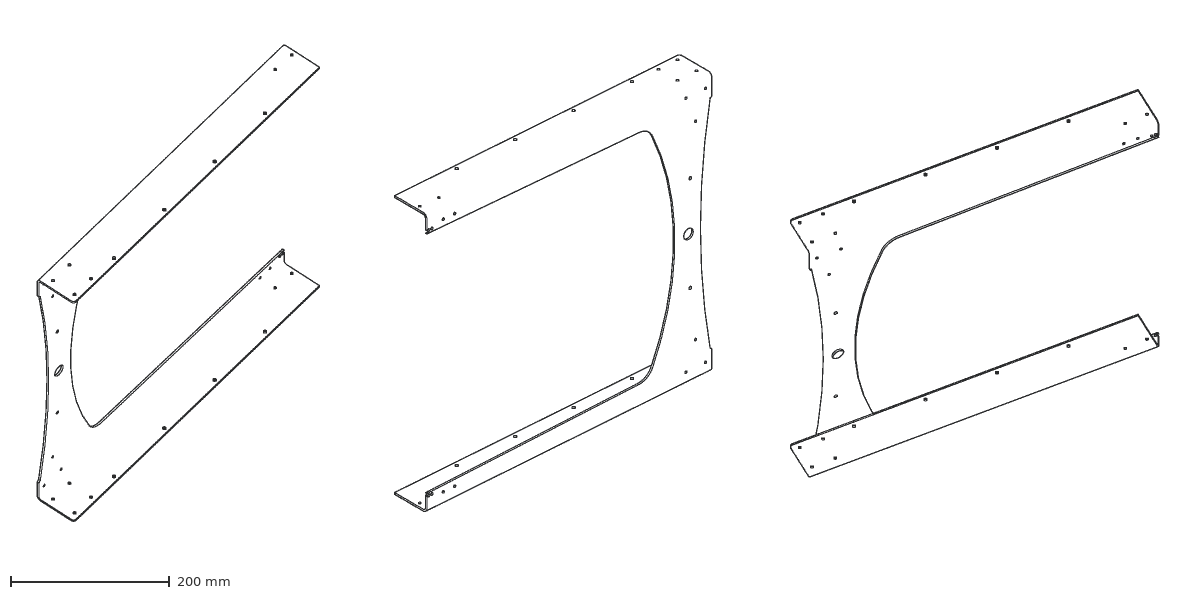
import cadquery as cq

width = 60.0
length = 488.0
height = 446.0
thickness = 3.0
bend_radius = 7.0
half_height = height / 2

arm_tip_z = 193.5
arm_root_z = 188.0
arm_root_y = 123.5
arm_tip_chamfer = 5.0
throat_y = 63.5
throat_end_y = 109.0
throat_fillet = 26.5
waist_y = 19.5
waist_end_y = 3.0
waist_end_z = 186.5
rear_corner_z = 189.0
flange_corner = 4.5

shaft_hole = 16.0
shaft_hole_y = 40.0
tip_hole = 3.5
web_hole = 3.3
strut_hole = 4.3
flange_hole = 4.3
mount_hole = 3.5
tip_holes = [(484.5, 198.0), (479.0, 198.0)]
web_holes = [(459.5, 203.5), (440.0, 203.5), (44.5, 204.5), (10.5, 204.5), (28.0, 163.0)]
strut_holes = [(37.0, 82.0)]
edge_hole_x = 53.5
edge_hole_start_y = 87.5
edge_hole_pitch = 100.0
edge_hole_count = 4
edge_holes = [(edge_hole_x, edge_hole_start_y + i * edge_hole_pitch) for i in range(edge_hole_count)]
mount_holes = [(x, y) for x in (17.0, 52.0) for y in (10.5, 43.5)]
far_end_holes = [(20.5, 481.0), (19.0, 450.0)]


def folded_channel():
    """C-shaped sheet with two rounded bends, extruded along Y."""
    outer = cq.Workplane("XY").box(2 * width, length, height, centered=(False, False, True))
    outer = outer.edges("|Y and <X").fillet(bend_radius)
    inner = (
        cq.Workplane("XY")
        .box(2 * width, length, height - 2 * thickness, centered=(False, False, True))
        .translate((thickness, 0, 0))
        .edges("|Y and <X")
        .fillet(bend_radius - thickness)
    )
    limit = cq.Workplane("XY").box(width, length, height, centered=(False, False, True))
    return outer.cut(inner).intersect(limit)


def web_opening():
    """Opening between the arms: tapered edges rounded into a shallow arc."""
    slope = (arm_tip_z - arm_root_z) / (length - arm_root_y)
    corner_z = arm_root_z - slope * (arm_root_y - throat_end_y)
    opening = (
        cq.Workplane("YZ")
        .moveTo(length, -arm_tip_z)
        .lineTo(throat_end_y, -corner_z)
        .threePointArc((throat_y, 0), (throat_end_y, corner_z))
        .lineTo(length, arm_tip_z)
        .close()
        .extrude(thickness)
    )
    return opening.edges("|X").edges("<Y").fillet(throat_fillet)


def waist_cutter():
    """Shallow arc along the near edge of the web."""
    return (
        cq.Workplane("YZ")
        .moveTo(0, -rear_corner_z)
        .lineTo(waist_end_y, -waist_end_z)
        .threePointArc((waist_y, 0), (waist_end_y, waist_end_z))
        .lineTo(0, rear_corner_z)
        .close()
        .extrude(thickness)
    )


def mirrored(points):
    """Points above the mid-plane together with their mirror images below it."""
    return [(y, side * z) for y, z in points for side in (1, -1)]


def web_drill(points, diameter):
    """Holes through the web."""
    return cq.Workplane("YZ").pushPoints(points).circle(diameter / 2).extrude(thickness)


def flange_drill(points, diameter):
    """Holes straight through both flanges."""
    start = cq.Workplane("XY").workplane(offset=-half_height)
    return start.pushPoints(points).circle(diameter / 2).extrude(height)


def arm_tip_chamfer_cutter(side):
    """Prism that bevels the inner corner of one arm tip; side is +1 (upper) or -1 (lower)."""
    triangle = [
        (length, side * arm_tip_z),
        (length - arm_tip_chamfer, side * arm_tip_z),
        (length, side * (arm_tip_z + arm_tip_chamfer)),
    ]
    return cq.Workplane("YZ").polyline(triangle).close().extrude(thickness)


result = folded_channel()
result = result.edges("|Z and >X and <Y").fillet(flange_corner)
result = result.cut(web_opening())
result = result.cut(waist_cutter())
for side in (1, -1):
    result = result.cut(arm_tip_chamfer_cutter(side))
result = result.cut(web_drill(mirrored(tip_holes), tip_hole))
result = result.cut(web_drill(mirrored(web_holes), web_hole))
result = result.cut(web_drill(mirrored(strut_holes), strut_hole))
result = result.cut(web_drill([(shaft_hole_y, 0)], shaft_hole))
result = result.cut(flange_drill(edge_holes, flange_hole))
result = result.cut(flange_drill(mount_holes, mount_hole))
result = result.cut(flange_drill(far_end_holes, web_hole))